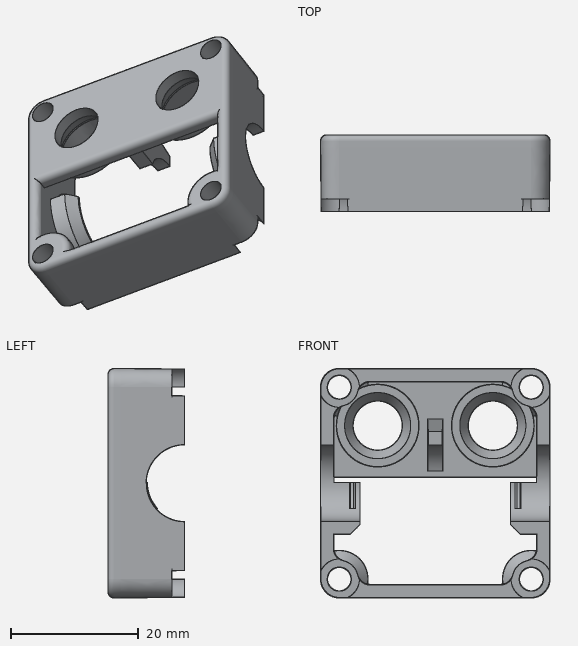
import cadquery as cq
import math


DEPTH = 12.0
WIDEST = 35.89
OPEN_FACE_WIDTH = 35.7
PARTING_FROM_BACK = 2.0
BACK_ROUND = 1.0
CAVITY_OPEN_WIDTH = 31.85
CAVITY_BACK_WIDTH = 31.6

PLATE_THICKNESS = 2.0
PLATE_BOTTOM_Z = 0.9

BOSS_PITCH = 30.0
BOSS_RADIUS = 2.95
BOSS_RECESS = 2.0
RECESS_RADIUS = 3.15
SCREW_HOLE_FRONT_RADIUS = 1.9
SCREW_HOLE_BACK_RADIUS = 1.83
BOSS_WALL_FILLET = 2.0
FOOT_RADIUS = 4.5
FOOT_HEIGHT = PLATE_THICKNESS
FOOT_CONE_HEIGHT = FOOT_RADIUS - BOSS_RADIUS

EYE_X = 9.0
EYE_Z = 9.0
EYE_FRONT_RADIUS = 6.42
EYE_ROOT_RADIUS = 6.52
EYE_HEIGHT = 4.5
EYE_MOUTH_RADIUS = 5.17
EYE_HOLE_RADIUS = 3.83
EYE_LIP = 0.3
EYE_CONE_DEPTH = 2.2

AXLE_RADIUS = 6.0
SADDLE_RADIUS = 8.0
SADDLE_INNER_X = 11.75
SADDLE_TOP_Z = 0.12
SADDLE_CHAMFER = 1.55
GRIP_HEIGHT = 0.2
GRIP_INNER_X = 12.5
GRIP_OUTER_X = 13.4
GRIP_INNER_SLOPE = 0.25
GRIP_OUTER_SLOPE = 0.15
GRIP_BOTTOM_Z = -3.93

RIB_BOTTOM_Z = 1.9
RIB_ROOT_TOP_Z = 10.0
RIB_TIP_TOP_Z = 8.1
RIB_ROOT_WIDTH = 2.36
RIB_TIP_WIDTH = 2.16

PLATE_FRONT_Y = DEPTH - PLATE_THICKNESS
EYE_FRONT_Y = DEPTH - EYE_HEIGHT
PARTING_Y = DEPTH - PARTING_FROM_BACK
BOSS_OFFSET = BOSS_PITCH / 2
BOSS_CENTRES = [(sx * BOSS_OFFSET, sz * BOSS_OFFSET) for sx in (-1, 1) for sz in (-1, 1)]


def plane_at(y, x=0.0, z=0.0):
    """Plane across the Y axis: local x is X, local y is Z, normal towards the open face."""
    return cq.Workplane("XZ", origin=(x, y, z))


def rod(x, z, radius, y_from, y_to):
    """Cylinder along Y between two depths."""
    return plane_at(y_to, x, z).circle(radius).extrude(y_to - y_from)


def cone(x, z, back_radius, front_radius, y_front, y_back):
    """Cone frustum along Y between two depths."""
    solid = cq.Solid.makeCone(
        back_radius, front_radius, y_back - y_front, cq.Vector(x, y_back, z), cq.Vector(0, -1, 0)
    )
    return cq.Workplane(solid)


def outer_block():
    """Solid envelope: rounded back slab, then a front that narrows towards the open face."""
    corner = WIDEST / 2 - BOSS_OFFSET
    back = plane_at(DEPTH).rect(WIDEST, WIDEST).extrude(PARTING_FROM_BACK)
    back = back.edges("|Y").fillet(corner).faces(">Y").edges().fillet(BACK_ROUND)
    draft = math.degrees(math.atan((WIDEST - OPEN_FACE_WIDTH) / 2 / PARTING_Y))
    outline = cq.Sketch().rect(WIDEST, WIDEST).vertices().fillet(corner)
    front = plane_at(PARTING_Y).placeSketch(outline).extrude(PARTING_Y, taper=draft)
    return back.union(front)


def cavity():
    """Drafted inner space, already reduced by the bosses so their roots can be rounded."""
    space = (
        plane_at(DEPTH)
        .rect(CAVITY_BACK_WIDTH, CAVITY_BACK_WIDTH)
        .workplane(offset=DEPTH)
        .rect(CAVITY_OPEN_WIDTH, CAVITY_OPEN_WIDTH)
        .loft(ruled=True)
    )
    for x, z in BOSS_CENTRES:
        space = space.cut(rod(x, z, BOSS_RADIUS, 0, DEPTH))
    space = cq.Workplane(max(space.solids().vals(), key=lambda s: s.Volume()))
    roots = [edge for edge in space.edges().vals() if edge.BoundingBox().ylen > DEPTH / 2]
    return space.newObject(roots).fillet(BOSS_WALL_FILLET)


def eye(x):
    """Slightly drafted tube standing on the back plate."""
    return cone(x, EYE_Z, EYE_ROOT_RADIUS, EYE_FRONT_RADIUS, EYE_FRONT_Y, DEPTH)


def eye_opening(x):
    """Short straight lip, funnel, then a straight hole out through the back."""
    cone_y = EYE_FRONT_Y + EYE_LIP
    lip = rod(x, EYE_Z, EYE_MOUTH_RADIUS, EYE_FRONT_Y, cone_y)
    funnel = cone(x, EYE_Z, EYE_HOLE_RADIUS, EYE_MOUTH_RADIUS, cone_y, cone_y + EYE_CONE_DEPTH)
    return lip.union(funnel).union(rod(x, EYE_Z, EYE_HOLE_RADIUS, EYE_FRONT_Y, DEPTH))


def boss_foot(x, z):
    """Wide disc at the back of a boss, coned down to the boss."""
    cone_y = DEPTH - FOOT_HEIGHT
    disc = rod(x, z, FOOT_RADIUS, cone_y, DEPTH)
    return disc.union(cone(x, z, FOOT_RADIUS, BOSS_RADIUS, cone_y - FOOT_CONE_HEIGHT, cone_y))


def back_plate():
    height = CAVITY_OPEN_WIDTH / 2 - PLATE_BOTTOM_Z
    plate = plane_at(DEPTH, 0, PLATE_BOTTOM_Z + height / 2)
    return plate.rect(CAVITY_OPEN_WIDTH, height).extrude(PLATE_THICKNESS)


def rib():
    """Tapered rib between the eyes, sloping down from the plate to the open face."""
    root_height = RIB_ROOT_TOP_Z - RIB_BOTTOM_Z
    tip_height = RIB_TIP_TOP_Z - RIB_BOTTOM_Z
    return (
        plane_at(PLATE_FRONT_Y, 0, RIB_BOTTOM_Z)
        .center(0, root_height / 2)
        .rect(RIB_ROOT_WIDTH, root_height)
        .workplane(offset=PLATE_FRONT_Y)
        .center(0, (tip_height - root_height) / 2)
        .rect(RIB_TIP_WIDTH, tip_height)
        .loft(ruled=True)
    )


def slab_between(top_z, bottom_z):
    """Region behind the open face between two heights, across the full width."""
    base = cq.Workplane("XY", origin=(0, DEPTH / 2, bottom_z))
    return base.rect(WIDEST, DEPTH).extrude(top_z - bottom_z)


def turned_about_axle(points):
    """Revolve an (x, radius) outline about the X axis."""
    return cq.Workplane("XY").polyline(points).close().revolve(360, (0, 0, 0), (1, 0, 0))


def saddle():
    """Quarter ring under the axle on the +X wall, with a chamfered inner end."""
    wall_x = (CAVITY_BACK_WIDTH + WIDEST) / 4
    ring = turned_about_axle([
        (wall_x, 0),
        (SADDLE_INNER_X, 0),
        (SADDLE_INNER_X, SADDLE_RADIUS - SADDLE_CHAMFER),
        (SADDLE_INNER_X + SADDLE_CHAMFER, SADDLE_RADIUS),
        (wall_x, SADDLE_RADIUS),
    ])
    return ring.intersect(slab_between(SADDLE_TOP_Z, -SADDLE_RADIUS))


def grip():
    """Shallow raised band inside the saddle, sloped on both flanks."""
    crest = AXLE_RADIUS - GRIP_HEIGHT
    root = AXLE_RADIUS + GRIP_HEIGHT
    band = turned_about_axle([
        (GRIP_OUTER_X, root),
        (GRIP_OUTER_X, AXLE_RADIUS),
        (GRIP_OUTER_X - GRIP_OUTER_SLOPE, crest),
        (GRIP_INNER_X + GRIP_INNER_SLOPE, crest),
        (GRIP_INNER_X, AXLE_RADIUS),
        (GRIP_INNER_X, root),
    ])
    return band.intersect(slab_between(SADDLE_TOP_Z, GRIP_BOTTOM_Z))


def both_sides(feature):
    return feature.union(feature.mirror("YZ"))


def round_back_opening(body):
    """Round the back rim of the open lower half."""
    rim = body.faces(">Y").val().innerWires()[0]
    return body.newObject(rim.Edges()).fillet(BACK_ROUND)


def build():
    block = outer_block()
    body = block.cut(cavity()).union(back_plate())
    for x, z in BOSS_CENTRES:
        body = body.union(boss_foot(x, z).intersect(block))
    body = round_back_opening(body)
    body = body.union(rib()).union(both_sides(saddle()))
    for x in (-EYE_X, EYE_X):
        body = body.union(eye(x)).cut(eye_opening(x))
    for x, z in BOSS_CENTRES:
        body = body.cut(rod(x, z, RECESS_RADIUS, 0, BOSS_RECESS))
        body = body.cut(cone(x, z, SCREW_HOLE_BACK_RADIUS, SCREW_HOLE_FRONT_RADIUS, 0, DEPTH))
    axle = cq.Workplane("YZ").circle(AXLE_RADIUS).extrude(WIDEST, both=True)
    return body.cut(axle).union(both_sides(grip()))


result = build()